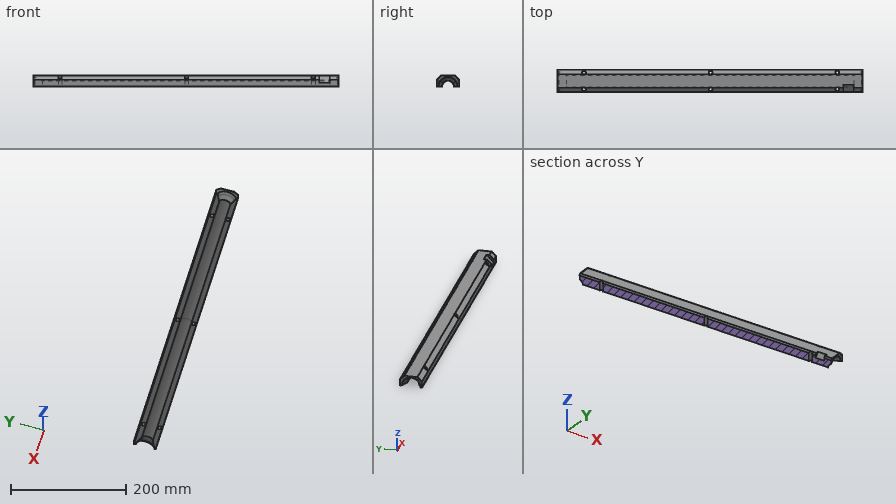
import cadquery as cq
import math

length = 530.5
width = 39.0
height = 19.5
chamfer = 8.0
bore_radius = 10.0
mouth_radius = 18.5
mouth_fillet = 2.0
throat_radius = 14.5
taper_length = 5.0
throat_length = 8.5
hole_diameter = 6.5
hole_pitch = 220.0
hole_shift = 1.0
hole_offset = 14.5
notch_length = 18.0
notch_center_x = 241.0
notch_leg = 13.0


def corner_prism(leg, prism_length, center_x):
    """Triangular prism removing the upper -Y edge by a 45 degree bevel."""
    return (
        cq.Workplane("YZ", origin=(center_x - prism_length / 2, 0, 0))
        .moveTo(-width / 2, height)
        .lineTo(-width / 2 + leg, height)
        .lineTo(-width / 2, height - leg)
        .close()
        .extrude(prism_length)
    )


def channel():
    """Round cutter about the X axis with a rounded, two-stage tapered mouth at each end."""
    end = length / 2
    taper_start = end - mouth_fillet
    throat_start = taper_start - taper_length
    bore_start = throat_start - throat_length
    taper_radius = mouth_radius - mouth_fillet
    arc_offset = mouth_fillet * math.sqrt(0.5)
    arc_x = taper_start + arc_offset
    arc_y = mouth_radius - arc_offset
    half = (
        cq.Workplane("XY")
        .lineTo(0, bore_radius)
        .lineTo(bore_start, bore_radius)
        .lineTo(throat_start, throat_radius)
        .lineTo(taper_start, taper_radius)
        .threePointArc((arc_x, arc_y), (end, mouth_radius))
        .lineTo(end, 0)
        .close()
        .revolve(360, (0, 0, 0), (1, 0, 0))
    )
    return half.union(half.mirror("YZ"))


body = cq.Workplane("XY").box(length, width, height, centered=(True, True, False))
bevel = corner_prism(chamfer, length, 0)
body = body.cut(bevel).cut(bevel.mirror("XZ"))

body = body.cut(channel())

hole_points = [
    (column * hole_pitch + hole_shift, side * hole_offset)
    for column in (-1, 0, 1)
    for side in (-1, 1)
]
holes = cq.Workplane("XY").pushPoints(hole_points).circle(hole_diameter / 2).extrude(height)
body = body.cut(holes)

result = body.cut(corner_prism(notch_leg, notch_length, notch_center_x))